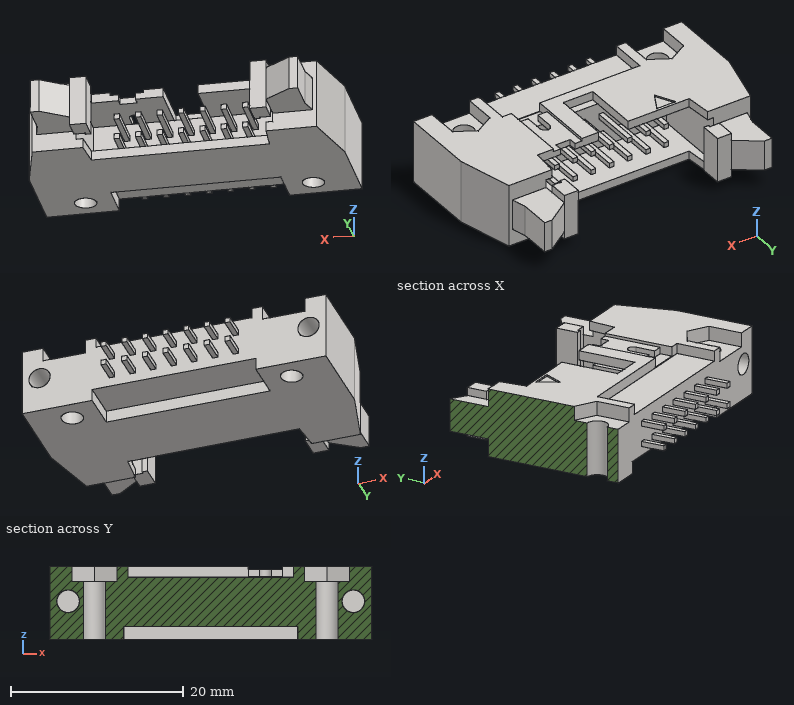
import cadquery as cq
import math


body_width = 37.4
body_height = 8.5
top_z = body_height / 2
half_width = body_width / 2
shroud_depth = 13.8
tower_depth = 17.25
flank_depth = 10.0
tower_tip_outer_x = 16.85
tower_tip_inner_x = 10.85
tower_root_inner_x = 10.55

wall_thickness = 1.15
cavity_half_width = 11.65
cavity_floor_y = 7.4
cavity_top_z = top_z - wall_thickness

pin_columns = 7
pin_rows = 2
pin_pitch = 2.54
pin_size = 0.64
pin_tail = 2.95
pin_tip_y = 13.45

lever_tip_y = 23.25
lever_height = 4.1
lever_inner_x = cavity_half_width
lever_outer_x = 15.85
lever_base_outer_x = 16.35
lever_bend_y = 19.15
lever_tip_inner_x = 14.8
hook_top_y = 21.05
hook_bottom_y = 18.5
hook_lip_y = 18.2
hook_inner_x = 9.7
hook_lip_width = 0.65
hook_height = 6.1

hole_diameter = 2.6
mount_x = 13.5
mount_y = 2.8
nut_width = 5.2
nut_depth = 1.75
nut_corner_radius = nut_width / math.sqrt(3)

side_hole_x = 16.55
side_hole_z = 0.2
side_hole_depth = 5.0

edge_recess_length = 4.95
top_recess_width = 19.15
top_recess_depth = 1.25
bottom_recess_width = 20.15
bottom_recess_depth = 1.5

keyway_width = 4.1
keyway_end_y = 6.4

channel_x = 6.35
channel_width = 3.95
channel_depth = 0.35
channel_step_y = 6.5
channel_slot_width = 1.35
channel_slot_end_y = 9.65
channel_notch_width = 2.0
channel_notch_length = 1.0

mark_x = -pin_pitch * (pin_columns - 1) / 2
mark_width = 2.6
mark_base_y = 13.45
mark_tip_y = 10.95
mark_depth = 0.2


def block(x_range, y_range, z_range):
    """Axis-aligned box between the given limits."""
    (x0, x1), (y0, y1), (z0, z1) = x_range, y_range, z_range
    return cq.Workplane("XY").box(x1 - x0, y1 - y0, z1 - z0, centered=False).translate((x0, y0, z0))


def centered_span(center, width):
    return (center - width / 2, center + width / 2)


def top_pocket(x_center, width, y_range, depth):
    """Box running from the given depth up to the top face."""
    return block(centered_span(x_center, width), y_range, (top_z - depth, top_z))


def mirrored_pair(solid):
    return solid.union(solid.mirror("YZ"))


def make_body():
    right_edge = [
        (half_width, 0),
        (half_width, flank_depth),
        (tower_tip_outer_x, tower_depth),
        (tower_tip_inner_x, tower_depth),
        (tower_root_inner_x, shroud_depth),
    ]
    left_edge = [(-x, y) for x, y in reversed(right_edge)]
    outline = cq.Workplane("XY").polyline(right_edge + left_edge).close()
    return outline.extrude(top_z, both=True)


def make_cavity():
    return block(
        (-cavity_half_width, cavity_half_width),
        (cavity_floor_y, tower_depth),
        (-cavity_top_z, cavity_top_z),
    )


def make_edge_recesses():
    top = top_pocket(0, top_recess_width, (0, edge_recess_length), top_recess_depth)
    bottom = block(
        centered_span(0, bottom_recess_width),
        (0, edge_recess_length),
        (-top_z, -top_z + bottom_recess_depth),
    )
    return top.union(bottom)


def make_keyway():
    return top_pocket(0, keyway_width, (keyway_end_y, shroud_depth), wall_thickness)


def make_channel():
    """Shallow channel with a deep front step, a round-ended slot and a notch at the mouth."""
    channel = top_pocket(channel_x, channel_width, (edge_recess_length, shroud_depth), channel_depth)
    step = top_pocket(channel_x, channel_width, (edge_recess_length, channel_step_y), wall_thickness)
    slot_radius = channel_slot_width / 2
    slot_arc_y = channel_slot_end_y - slot_radius
    slot = top_pocket(channel_x, channel_slot_width, (channel_step_y, slot_arc_y), wall_thickness)
    slot_end = (
        cq.Workplane("XY", origin=(channel_x, slot_arc_y, cavity_top_z))
        .circle(slot_radius)
        .extrude(wall_thickness)
    )
    notch_range = (shroud_depth - channel_notch_length, shroud_depth)
    notch = top_pocket(channel_x, channel_notch_width, notch_range, wall_thickness)
    return channel.union(step).union(slot).union(slot_end).union(notch)


def make_mounting_cut():
    """Through hole with a hexagonal nut pocket that opens at the pin-side face."""
    hole = (
        cq.Workplane("XY", origin=(mount_x, mount_y, -top_z))
        .circle(hole_diameter / 2)
        .extrude(body_height)
    )
    shoulder_y = mount_y + nut_corner_radius / 2
    pocket = (
        cq.Workplane("XY", origin=(0, 0, top_z - nut_depth))
        .polyline([
            (mount_x - nut_width / 2, 0),
            (mount_x + nut_width / 2, 0),
            (mount_x + nut_width / 2, shoulder_y),
            (mount_x, mount_y + nut_corner_radius),
            (mount_x - nut_width / 2, shoulder_y),
        ])
        .close()
        .extrude(nut_depth)
    )
    return hole.union(pocket)


def make_side_hole():
    return (
        cq.Workplane("XZ", origin=(side_hole_x, 0, side_hole_z))
        .circle(hole_diameter / 2)
        .extrude(-side_hole_depth)
    )


def make_pin_one_mark():
    return (
        cq.Workplane("XY", origin=(0, 0, top_z - mark_depth))
        .polyline([
            (mark_x - mark_width / 2, mark_base_y),
            (mark_x + mark_width / 2, mark_base_y),
            (mark_x, mark_tip_y),
        ])
        .close()
        .extrude(mark_depth)
    )


def make_lever():
    """Latch lever standing on the tower end, with a hook on its inner side."""
    arm = (
        cq.Workplane("XY")
        .polyline([
            (lever_inner_x, tower_depth),
            (lever_base_outer_x, tower_depth),
            (lever_outer_x, lever_bend_y),
            (lever_outer_x, lever_tip_y),
            (lever_tip_inner_x, lever_tip_y),
            (lever_inner_x, hook_top_y),
        ])
        .close()
        .extrude(lever_height / 2, both=True)
    )
    hook_z = centered_span(0, hook_height)
    hook = block((hook_inner_x, lever_inner_x), (hook_bottom_y, hook_top_y), hook_z)
    lip = block((hook_inner_x, hook_inner_x + hook_lip_width), (hook_lip_y, hook_bottom_y), hook_z)
    return arm.union(hook).union(lip)


def make_pins():
    pins = cq.Workplane("XY")
    for column in range(pin_columns):
        x = (column - (pin_columns - 1) / 2) * pin_pitch
        for row in range(pin_rows):
            z = (row - (pin_rows - 1) / 2) * pin_pitch
            pin = block(centered_span(x, pin_size), (-pin_tail, pin_tip_y), centered_span(z, pin_size))
            pins = pins.add(pin)
    return pins.combine()


result = make_body()
result = result.cut(make_cavity())
result = result.cut(make_edge_recesses())
result = result.cut(make_keyway())
result = result.cut(make_channel())
result = result.cut(mirrored_pair(make_mounting_cut()))
result = result.cut(mirrored_pair(make_side_hole()))
result = result.cut(make_pin_one_mark())
result = result.union(mirrored_pair(make_lever()))
result = result.union(make_pins())